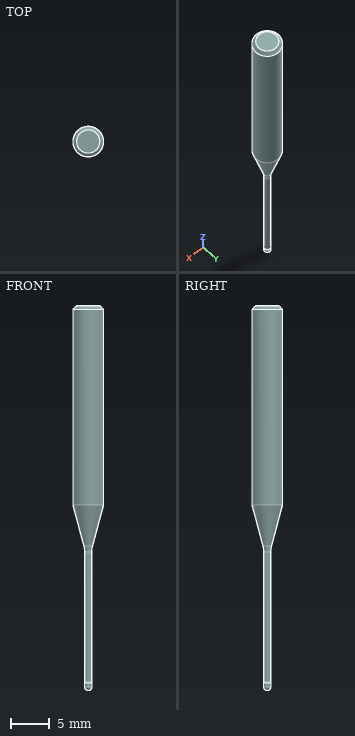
import cadquery as cq
import math

OVERALL_LENGTH = 50.0
SHANK_DIAMETER = 4.0
NECK_DIAMETER = 0.95
CUTTER_DIAMETER = 1.0

CUTTER_TOP_Z = 1.0
STEP_HEIGHT = 0.15
NECK_TOP_Z = 18.0
BLEND_RADIUS = 3.0
CONE_HALF_ANGLE = math.radians(15)
CHAMFER_WIDTH = 0.5
CHAMFER_HEIGHT = 0.5

shank_radius = SHANK_DIAMETER / 2
neck_radius = NECK_DIAMETER / 2
cutter_radius = CUTTER_DIAMETER / 2

cone_bottom_radius = neck_radius + BLEND_RADIUS * (1 - math.cos(CONE_HALF_ANGLE))
cone_bottom_z = NECK_TOP_Z + BLEND_RADIUS * math.sin(CONE_HALF_ANGLE)
cone_top_z = cone_bottom_z + (shank_radius - cone_bottom_radius) / math.tan(CONE_HALF_ANGLE)


def revolve_about_z(profile):
    """Turn a closed half profile, drawn as (radius, height), around the Z axis."""
    return profile.close().revolve(360, (0, 0, 0), (0, 1, 0))


def make_cutting_head():
    """Short cylinder ending in a hemispherical nose."""
    nose_middle = cutter_radius * math.sqrt(0.5)
    profile = (
        cq.Workplane("XZ")
        .moveTo(0, 0)
        .threePointArc((nose_middle, cutter_radius - nose_middle), (cutter_radius, cutter_radius))
        .lineTo(cutter_radius, CUTTER_TOP_Z)
        .lineTo(0, CUTTER_TOP_Z)
    )
    return revolve_about_z(profile)


def make_shank():
    """Thin neck, blend, cone and cylindrical shank with a chamfered end."""
    profile = (
        cq.Workplane("XZ")
        .moveTo(0, CUTTER_TOP_Z)
        .lineTo(cutter_radius, CUTTER_TOP_Z)
        .lineTo(neck_radius, CUTTER_TOP_Z + STEP_HEIGHT)
        .lineTo(neck_radius, NECK_TOP_Z)
        .tangentArcPoint((cone_bottom_radius, cone_bottom_z), relative=False)
        .lineTo(shank_radius, cone_top_z)
        .lineTo(shank_radius, OVERALL_LENGTH - CHAMFER_HEIGHT)
        .lineTo(shank_radius - CHAMFER_WIDTH, OVERALL_LENGTH)
        .lineTo(0, OVERALL_LENGTH)
    )
    return revolve_about_z(profile)


cutting_head = make_cutting_head()
shank = make_shank()

result = cq.Compound.makeCompound([cutting_head.val(), shank.val()])